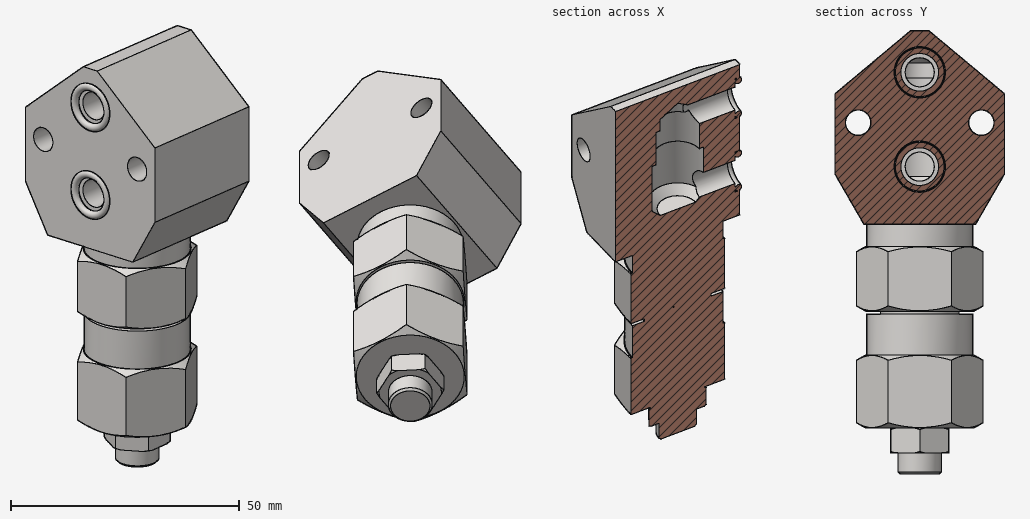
import cadquery as cq
import math

BLOCK_WIDTH = 37.08
BLOCK_DEPTH = 31.75
BLOCK_HEIGHT = 42.3
TOP_FLAT_WIDTH = 4.0
BOTTOM_FLAT_WIDTH = 24.4
UPPER_SHOULDER_Z = -13.8
LOWER_SHOULDER_Z = -31.3
FRONT_Y = -BLOCK_DEPTH / 2

MOUNT_HOLE_DIAMETER = 5.5
MOUNT_HOLE_SPACING = 26.9
MOUNT_HOLE_Z = -20.1

PORT_DIAMETER = 6.35
UPPER_PORT_Z = -9.1
LOWER_PORT_Z = -29.7
RING_INNER_DIAMETER = 7.65
RING_SECTION = 1.78
RING_PROTRUSION = 0.46
RING_OUTER_DIAMETER = RING_INNER_DIAMETER + 2 * RING_SECTION
RING_SQUEEZE = 0.05
RING_SEAT_DIAMETER = RING_OUTER_DIAMETER - 2 * RING_SQUEEZE
RING_SEAT_DEPTH = RING_SECTION - RING_PROTRUSION - RING_SQUEEZE

CAVITY_TIP_RADIUS = 4.5
CAVITY_UPPER_RADIUS = 5.5
CAVITY_LOWER_RADIUS = 6.5
CAVITY_FLOOR_RADIUS = 4.5
CAVITY_TIP_ANGLE = math.radians(31)
CAVITY_TIP_Z = -7.1
CAVITY_UPPER_STEP_Z = -10.3
CAVITY_LOWER_STEP_Z = (UPPER_PORT_Z + LOWER_PORT_Z) / 2
CAVITY_TAPER_Z = -31.9

COLLAR_DIAMETER = 23.2
UPPER_COLLAR_LENGTH = 4.8
UPPER_NUT_LENGTH = 14.2
NECK_DIAMETER = 17.2
NECK_LENGTH = 0.6
LOWER_COLLAR_LENGTH = 8.9
LOWER_NUT_LENGTH = 16.0
NUT_FLATS = 24.0
NUT_CHAMFER_DIAMETER = 23.6
LOCKNUT_LENGTH = 5.4
LOCKNUT_FLATS = 12.7
LOCKNUT_CHAMFER_DIAMETER = 13.6
LOCKNUT_TURN = 30
NUT_CHAMFER_ANGLE = math.radians(30)
TOTAL_HEIGHT = 96.82
STUB_DIAMETER = 9.6
STUB_CHAMFER = 0.5


def cylinder(diameter, length, top_z):
    """Cylinder on the Z axis, hanging down from top_z."""
    return cq.Workplane("XY", origin=(0, 0, top_z)).circle(diameter / 2).extrude(-length)


def hex_nut(flats, length, top_z, chamfer_diameter, turn=0):
    """Hexagonal prism hanging from top_z, with conical corner chamfers at both ends."""
    corner_radius = flats / math.sqrt(3)
    chamfer_radius = chamfer_diameter / 2
    chamfer_height = (corner_radius - chamfer_radius) * math.tan(NUT_CHAMFER_ANGLE)
    prism = (
        cq.Workplane("XY", origin=(0, 0, top_z))
        .polygon(6, 2 * corner_radius)
        .extrude(-length)
        .rotate((0, 0, 0), (0, 0, 1), turn)
    )
    bottom_z = top_z - length
    envelope = (
        cq.Workplane("XZ")
        .moveTo(0, top_z)
        .lineTo(chamfer_radius, top_z)
        .lineTo(corner_radius, top_z - chamfer_height)
        .lineTo(corner_radius, bottom_z + chamfer_height)
        .lineTo(chamfer_radius, bottom_z)
        .lineTo(0, bottom_z)
        .close()
        .revolve(360, (0, 0, 0), (0, 1, 0))
    )
    return prism.intersect(envelope)


def make_block():
    """Prismatic block with two mounting holes running through it."""
    outline = [
        (TOP_FLAT_WIDTH / 2, 0),
        (BLOCK_WIDTH / 2, UPPER_SHOULDER_Z),
        (BLOCK_WIDTH / 2, LOWER_SHOULDER_Z),
        (BOTTOM_FLAT_WIDTH / 2, -BLOCK_HEIGHT),
    ]
    mirrored = [(-x, z) for x, z in reversed(outline)]
    block = cq.Workplane("XZ").polyline(outline + mirrored).close().extrude(BLOCK_DEPTH / 2, both=True)
    mount_holes = (
        cq.Workplane("XZ")
        .pushPoints([(side * MOUNT_HOLE_SPACING / 2, MOUNT_HOLE_Z) for side in (-1, 1)])
        .circle(MOUNT_HOLE_DIAMETER / 2)
        .extrude(BLOCK_DEPTH, both=True)
    )
    return block.cut(mount_holes)


def make_cavity():
    """Revolved cavity: drill-point top, two steps, and a 45 degree taper to a flat floor."""
    apex_z = CAVITY_TIP_Z + CAVITY_TIP_RADIUS * math.tan(CAVITY_TIP_ANGLE)
    floor_z = CAVITY_TAPER_Z - (CAVITY_LOWER_RADIUS - CAVITY_FLOOR_RADIUS)
    profile = [
        (0, apex_z),
        (CAVITY_TIP_RADIUS, CAVITY_TIP_Z),
        (CAVITY_TIP_RADIUS, CAVITY_UPPER_STEP_Z),
        (CAVITY_UPPER_RADIUS, CAVITY_UPPER_STEP_Z),
        (CAVITY_UPPER_RADIUS, CAVITY_LOWER_STEP_Z),
        (CAVITY_LOWER_RADIUS, CAVITY_LOWER_STEP_Z),
        (CAVITY_LOWER_RADIUS, CAVITY_TAPER_Z),
        (CAVITY_FLOOR_RADIUS, floor_z),
        (0, floor_z),
    ]
    return cq.Workplane("XZ").polyline(profile).close().revolve(360, (0, 0, 0), (0, 1, 0))


def drill_port(body, port_z):
    """Blind port reaching the cartridge axis, with a shallow O-ring seat at its mouth."""
    mouth = cq.Workplane("XZ", origin=(0, FRONT_Y, port_z))
    bore = mouth.circle(PORT_DIAMETER / 2).extrude(-BLOCK_DEPTH / 2)
    seat = mouth.circle(RING_SEAT_DIAMETER / 2).extrude(-RING_SEAT_DEPTH)
    return body.cut(bore).cut(seat)


def o_ring(port_z):
    """Torus pressed slightly into its seat and standing proud of the front face."""
    section_radius = RING_SECTION / 2
    centre_radius = RING_INNER_DIAMETER / 2 + section_radius
    centre_y = FRONT_Y - RING_PROTRUSION + section_radius
    centre = cq.Vector(0, centre_y, port_z)
    torus = cq.Solid.makeTorus(centre_radius, section_radius, centre, cq.Vector(0, 1, 0))
    return cq.Workplane(torus)


def add_cartridge(body):
    """Stack the collars, nuts and end stub downwards from the underside of the block."""
    z = -BLOCK_HEIGHT
    body = body.union(cylinder(COLLAR_DIAMETER, UPPER_COLLAR_LENGTH, z))
    z -= UPPER_COLLAR_LENGTH
    body = body.union(hex_nut(NUT_FLATS, UPPER_NUT_LENGTH, z, NUT_CHAMFER_DIAMETER))
    z -= UPPER_NUT_LENGTH
    body = body.union(cylinder(NECK_DIAMETER, NECK_LENGTH, z))
    z -= NECK_LENGTH
    body = body.union(cylinder(COLLAR_DIAMETER, LOWER_COLLAR_LENGTH, z))
    z -= LOWER_COLLAR_LENGTH
    body = body.union(hex_nut(NUT_FLATS, LOWER_NUT_LENGTH, z, NUT_CHAMFER_DIAMETER))
    z -= LOWER_NUT_LENGTH
    body = body.union(hex_nut(LOCKNUT_FLATS, LOCKNUT_LENGTH, z, LOCKNUT_CHAMFER_DIAMETER, LOCKNUT_TURN))
    z -= LOCKNUT_LENGTH
    stub = cylinder(STUB_DIAMETER, TOTAL_HEIGHT + z, z).faces("<Z").chamfer(STUB_CHAMFER)
    return body.union(stub)


result = add_cartridge(make_block()).cut(make_cavity())
for port_z in (UPPER_PORT_Z, LOWER_PORT_Z):
    result = drill_port(result, port_z).union(o_ring(port_z))